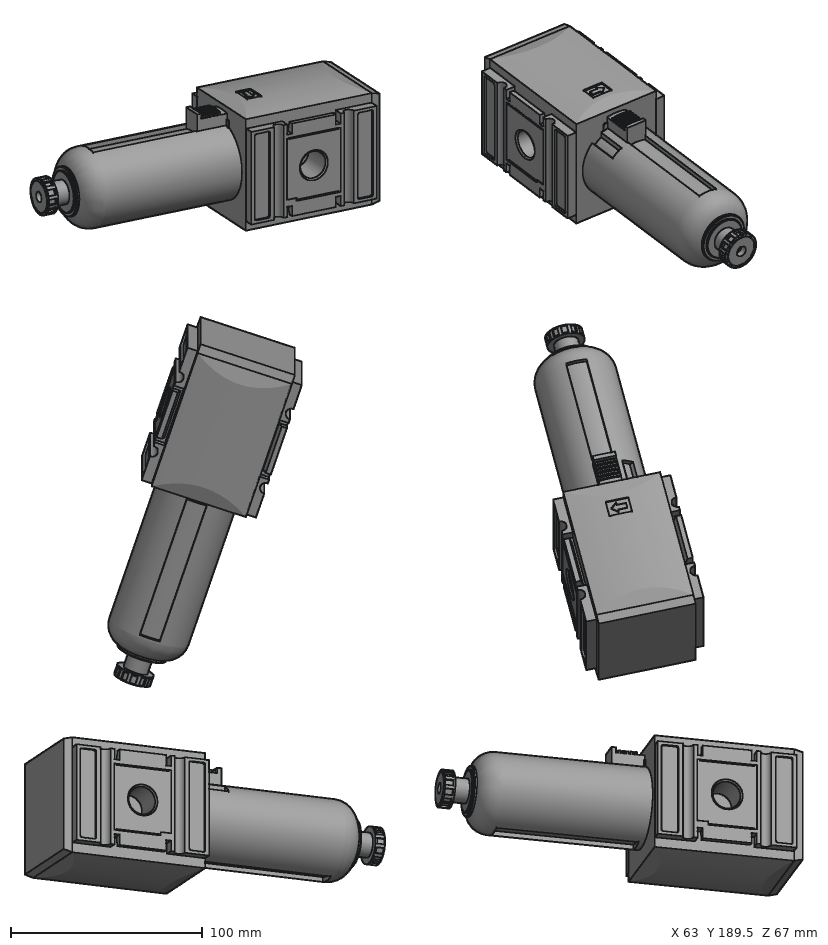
import cadquery as cq
import math


HEAD_LENGTH = 75.5
HEAD_WIDTH = 52.0
HEAD_SHOULDER = 31.3
HEAD_CROWN = 33.5
END_SLOPE = 15.0
COVER_LENGTH = 4.7
TOTAL_LENGTH = 189.5

HEAD_FRONT = -HEAD_LENGTH / 2
HEAD_BACK = HEAD_LENGTH / 2
COVER_BACK = HEAD_BACK + COVER_LENGTH
KNOB_END = COVER_BACK - TOTAL_LENGTH

OVERALL_WIDTH = 63.0
PLATE_HEIGHT = 52.0
PLATE_LENGTH = 75.0
CLAMP_GROOVE_WIDTH = 5.7
CLAMP_GROOVE_DEPTH = 3.2
CLAMP_GROOVE_OFFSET = 21.0
LABEL_WIDTH = 9.1
LABEL_HEIGHT = 48.5
LABEL_OFFSET = 30.9
LABEL_DEPTH = 1.3
LABEL_CORNER = 1.1
HOOK_SLOT_WIDTH = 2.8
HOOK_SLOT_DEPTH = 5.7
HOOK_SLOT_OFFSET = 14.5
HOOK_TAB_TOP = 2.8
HOOK_TAB_ROOT = 4.4
SEAL_WIDTH = 32.2
SEAL_HEIGHT = 36.0
SEAL_DEPTH = 0.2
SEAL_RELIEF_LENGTH = 29.5
SEAL_RELIEF_WIDTH = 0.5
SEAL_RELIEF_DEPTH = 0.5
SEAL_KEY_LENGTH = 5.9
SEAL_KEY_HEIGHT = 1.7
PORT_DIAMETER = 15.0
PORT_MOUTH_DIAMETER = 17.2
PORT_DEPTH = 19.0

PLATE_FACE = OVERALL_WIDTH / 2
HEAD_SIDE = HEAD_WIDTH / 2
PLATE_TOP = PLATE_HEIGHT / 2
BOTH = (-1, 1)

ARROW_Y = -21.5
ARROW_RECESS_LENGTH = 12.1
ARROW_RECESS_WIDTH = 8.7
ARROW_RECESS_DEPTH = 1.0
ARROW_HEIGHT = 0.5
ARROW_LENGTH = 8.3
ARROW_HEAD_LENGTH = 3.5
ARROW_HEAD_WIDTH = 5.7
ARROW_SHAFT_WIDTH = 2.8

BOWL_DIAMETER = 43.8
DOME_START = -119.0
DOME_RADIUS = 11.7
WINDOW_FLOOR_RADIUS = 19.3
WINDOW_WIDTH = 11.0
WINDOW_START = -40.7
WINDOW_END = -117.7
NOTCH_WALL_X = -9.9
NOTCH_EDGE_ANGLE = 135.8
DOME_END = DOME_START - DOME_RADIUS

LATCH_WIDTH = 12.0
LATCH_END = -55.5
LATCH_HEIGHT = 30.5
LATCH_LIP = 2.5
LATCH_PAD_RADIUS = 28.2
TOOTH_RADIUS = 29.5
TOOTH_COUNT = 5
TOOTH_PITCH = 2.3
TOOTH_WIDTH = 1.1
LATCH_PLATE_WIDTH = 16.9
LATCH_PLATE_TOP = 24.5
LATCH_PLATE_THICKNESS = 0.5
LATCH_PLATE_CORNER = 1.1

COLLAR_DIAMETER = 27.0
COLLAR_END = -131.7
COLLAR_CHAMFER = 0.4
DISC_DIAMETER = 23.0
DISC_TIP_DIAMETER = 22.0
DISC_END = -132.5
STEM_DIAMETER = 13.3
KNOB_DIAMETER = 20.0
KNOB_START = -141.0
KNOB_FACE_DIAMETER = 17.0
KNOB_EDGE = 0.5
KNOB_FLANGE = 1.0
KNURL_COUNT = 12
KNURL_WIDTH = 3.2
KNURL_DEPTH = 1.5
OUTLET_DIAMETER = 4.0
OUTLET_MOUTH_DIAMETER = 5.7
OUTLET_MOUTH_DEPTH = 3.8
OUTLET_DEPTH = 7.5


def block(x_range, y_range, z_range):
    """Box between two limits along each axis."""
    (x0, x1), (y0, y1), (z0, z1) = x_range, y_range, z_range
    return cq.Workplane("XY").box(x1 - x0, y1 - y0, z1 - z0, centered=False).translate((x0, y0, z0))


def section(y_start):
    """XZ sketch plane at y_start; a positive extrude runs towards -Y."""
    return cq.Workplane("XZ", origin=(0, y_start, 0))


def rod(diameter, y_start, y_end):
    """Round rod on the bowl axis, from y_start down to y_end."""
    return section(y_start).circle(diameter / 2).extrude(y_start - y_end)


def cone(base_diameter, tip_diameter, height, base, direction):
    """Truncated cone that stands on the point base."""
    return cq.Workplane(cq.Solid.makeCone(
        base_diameter / 2, tip_diameter / 2, height, cq.Vector(base), cq.Vector(direction)
    ))


def head_core():
    """Block with crowned top and bottom whose ends are sloped down to the shoulders."""
    crowned = (
        section(HEAD_BACK)
        .moveTo(-HEAD_SIDE, -HEAD_SHOULDER)
        .lineTo(-HEAD_SIDE, HEAD_SHOULDER)
        .threePointArc((0, HEAD_CROWN), (HEAD_SIDE, HEAD_SHOULDER))
        .lineTo(HEAD_SIDE, -HEAD_SHOULDER)
        .threePointArc((0, -HEAD_CROWN), (-HEAD_SIDE, -HEAD_SHOULDER))
        .close()
        .extrude(HEAD_LENGTH)
    )
    ridge = HEAD_SHOULDER + HEAD_BACK * math.tan(math.radians(END_SLOPE))
    sloped = (
        cq.Workplane("YZ")
        .polyline([
            (HEAD_FRONT, -HEAD_SHOULDER),
            (HEAD_FRONT, HEAD_SHOULDER),
            (0, ridge),
            (HEAD_BACK, HEAD_SHOULDER),
            (HEAD_BACK, -HEAD_SHOULDER),
            (0, -ridge),
        ])
        .close()
        .extrude(HEAD_SIDE, both=True)
    )
    return crowned.intersect(sloped)


def plate_blank(side):
    return block(
        sorted((side * HEAD_SIDE, side * PLATE_FACE)),
        (-PLATE_LENGTH / 2, PLATE_LENGTH / 2),
        (-PLATE_TOP, PLATE_TOP),
    )


def clamp_groove(side, y):
    """Round-bottomed groove running the full height of a plate."""
    radius = CLAMP_GROOVE_WIDTH / 2
    centre_x = side * (PLATE_FACE - CLAMP_GROOVE_DEPTH + radius)
    mouth = block(
        sorted((centre_x, side * (PLATE_FACE + radius))),
        (y - radius, y + radius),
        (-PLATE_TOP, PLATE_TOP),
    )
    bottom = (
        cq.Workplane("XY", origin=(centre_x, y, -PLATE_TOP)).circle(radius).extrude(PLATE_HEIGHT)
    )
    return mouth.union(bottom)


def face_recess(side, y, width, height, depth):
    """Rectangular recess in a plate face, centred at height zero."""
    return block(
        sorted((side * (PLATE_FACE - depth), side * PLATE_FACE)),
        (y - width / 2, y + width / 2),
        (-height / 2, height / 2),
    )


def label_recess(side, y):
    recess = face_recess(side, y, LABEL_WIDTH, LABEL_HEIGHT, LABEL_DEPTH)
    return recess.edges("|X").fillet(LABEL_CORNER)


def seal_recess(side):
    """Very shallow seal seat with a relief along two edges and one stepped corner."""
    seat = face_recess(side, 0, SEAL_WIDTH, SEAL_HEIGHT, SEAL_DEPTH)
    relief = face_recess(side, 0, SEAL_RELIEF_LENGTH, SEAL_RELIEF_WIDTH, SEAL_RELIEF_DEPTH)
    relief_height = (SEAL_HEIGHT - SEAL_RELIEF_WIDTH) / 2
    for end in BOTH:
        seat = seat.union(relief.translate((0, 0, end * relief_height)))
    key = block(
        sorted((side * HEAD_SIDE, side * PLATE_FACE)),
        (-SEAL_WIDTH / 2, -SEAL_WIDTH / 2 + SEAL_KEY_LENGTH),
        (-SEAL_HEIGHT / 2, -SEAL_HEIGHT / 2 + SEAL_KEY_HEIGHT),
    )
    return seat.cut(key)


def hook_slot(side, y, end):
    """Slot in the top (end = 1) or bottom (end = -1) edge of a plate."""
    return block(
        sorted((side * HEAD_SIDE, side * PLATE_FACE)),
        (y - HOOK_SLOT_WIDTH / 2, y + HOOK_SLOT_WIDTH / 2),
        sorted((end * (PLATE_TOP - HOOK_SLOT_DEPTH), end * PLATE_TOP)),
    )


def hook_channel(side, end):
    """Channel behind the tab between two slots; the tab thickens towards its root."""
    floor = end * (PLATE_TOP - HOOK_SLOT_DEPTH)
    return (
        section(HOOK_SLOT_OFFSET)
        .polyline([
            (side * HEAD_SIDE, end * PLATE_TOP),
            (side * (PLATE_FACE - HOOK_TAB_TOP), end * PLATE_TOP),
            (side * (PLATE_FACE - HOOK_TAB_ROOT), floor),
            (side * HEAD_SIDE, floor),
        ])
        .close()
        .extrude(2 * HOOK_SLOT_OFFSET)
    )


def port(side):
    """Blind port with a conical mouth."""
    mouth_depth = (PORT_MOUTH_DIAMETER - PORT_DIAMETER) / 2
    plane = cq.Plane(origin=(side * PLATE_FACE, 0, 0), xDir=(0, 1, 0), normal=(-side, 0, 0))
    bore = cq.Workplane(plane).circle(PORT_DIAMETER / 2).extrude(PORT_DEPTH)
    mouth = cone(
        PORT_MOUTH_DIAMETER, PORT_DIAMETER, mouth_depth, (side * PLATE_FACE, 0, 0), (-side, 0, 0)
    )
    return bore.union(mouth)


def connection_plate(side):
    plate = plate_blank(side).cut(seal_recess(side))
    for direction in BOTH:
        plate = plate.cut(clamp_groove(side, direction * CLAMP_GROOVE_OFFSET))
        plate = plate.cut(label_recess(side, direction * LABEL_OFFSET))
        plate = plate.cut(hook_channel(side, direction))
        for end in BOTH:
            plate = plate.cut(hook_slot(side, direction * HOOK_SLOT_OFFSET, end))
    return plate


def arrow_recess():
    """Recess in the crown with a raised arrow pointing to +X."""
    floor = HEAD_CROWN - ARROW_RECESS_DEPTH
    recess = block(
        (-ARROW_RECESS_LENGTH / 2, ARROW_RECESS_LENGTH / 2),
        (ARROW_Y - ARROW_RECESS_WIDTH / 2, ARROW_Y + ARROW_RECESS_WIDTH / 2),
        (floor, HEAD_CROWN),
    )
    tip = ARROW_LENGTH / 2
    neck = tip - ARROW_HEAD_LENGTH
    shaft = ARROW_SHAFT_WIDTH / 2
    barb = ARROW_HEAD_WIDTH / 2
    arrow = (
        cq.Workplane("XY", origin=(0, ARROW_Y, floor))
        .polyline([
            (-tip, -shaft), (neck, -shaft), (neck, -barb), (tip, 0),
            (neck, barb), (neck, shaft), (-tip, shaft),
        ])
        .close()
        .extrude(ARROW_HEIGHT)
    )
    return recess.cut(arrow)


def make_head():
    head = head_core()
    for side in BOTH:
        head = head.union(connection_plate(side))
    for side in BOTH:
        head = head.cut(port(side))
    return head.cut(arrow_recess())


def bowl_blank():
    return rod(BOWL_DIAMETER, HEAD_FRONT, DOME_END).faces("<Y").edges().fillet(DOME_RADIUS)


def bowl_wall(y_start, y_end):
    """Outer layer of the bowl, down to the floor of its windows."""
    return rod(2 * BOWL_DIAMETER, y_start, y_end).cut(rod(2 * WINDOW_FLOOR_RADIUS, y_start, y_end))


def bowl_windows():
    """Long flutes along the top and bottom of the bowl."""
    strip = block(
        (-WINDOW_WIDTH / 2, WINDOW_WIDTH / 2),
        (WINDOW_END, WINDOW_START),
        (-BOWL_DIAMETER, BOWL_DIAMETER),
    )
    return bowl_wall(WINDOW_START, WINDOW_END).intersect(strip)


def bowl_notch():
    """Notch beside the latch, between an upright wall and a radial wall."""
    angle = math.radians(NOTCH_EDGE_ANGLE)
    reach = BOWL_DIAMETER
    wedge = (
        section(HEAD_FRONT)
        .polyline([
            (NOTCH_WALL_X, NOTCH_WALL_X * math.tan(angle)),
            (NOTCH_WALL_X, reach),
            (reach * math.cos(angle), reach),
            (reach * math.cos(angle), reach * math.sin(angle)),
        ])
        .close()
        .extrude(HEAD_FRONT - LATCH_END)
    )
    return bowl_wall(HEAD_FRONT, LATCH_END).intersect(wedge)


def latch():
    """Push latch on top of the bowl: a curved pad with grip teeth and an end lip."""
    half = LATCH_WIDTH / 2
    column = block((-half, half), (LATCH_END, HEAD_FRONT), (0, LATCH_HEIGHT))
    pad = rod(2 * LATCH_PAD_RADIUS, HEAD_FRONT, LATCH_END)
    lip_start = LATCH_END + LATCH_LIP
    lip = block((-half, half), (LATCH_END, lip_start), (0, LATCH_HEIGHT))
    body = column.intersect(pad).union(lip)
    first_tooth = lip_start + TOOTH_PITCH - TOOTH_WIDTH
    for index in range(TOOTH_COUNT):
        tooth_end = first_tooth + index * TOOTH_PITCH
        tooth = rod(2 * TOOTH_RADIUS, tooth_end + TOOTH_WIDTH, tooth_end)
        body = body.union(tooth.intersect(column))
    return body


def latch_plate():
    """Thin plate between latch and head, with rounded top corners."""
    return (
        block(
            (-LATCH_PLATE_WIDTH / 2, LATCH_PLATE_WIDTH / 2),
            (HEAD_FRONT - LATCH_PLATE_THICKNESS, HEAD_FRONT),
            (0, LATCH_PLATE_TOP),
        )
        .edges("|Y and >Z")
        .fillet(LATCH_PLATE_CORNER)
    )


def make_bowl():
    bowl = bowl_blank().cut(bowl_windows()).cut(bowl_notch())
    return bowl.union(latch()).union(latch_plate())


def drain_base():
    """Collar and chamfered disc on the end of the dome, carrying the stem."""
    collar = rod(COLLAR_DIAMETER, DOME_START, COLLAR_END).faces("<Y").edges().chamfer(COLLAR_CHAMFER)
    disc = rod(DISC_DIAMETER, DOME_START, DISC_END)
    disc = disc.faces("<Y").edges().chamfer((DISC_DIAMETER - DISC_TIP_DIAMETER) / 2)
    return collar.union(disc).union(rod(STEM_DIAMETER, DISC_END, KNOB_START))


def drain_knob():
    """Knob with closed grip grooves around it and a flat cone at its end."""
    rim_start = KNOB_END + KNOB_EDGE
    knob = rod(KNOB_DIAMETER, KNOB_START, rim_start)
    rim = cone(KNOB_DIAMETER, KNOB_FACE_DIAMETER, KNOB_EDGE, (0, rim_start, 0), (0, -1, 0))
    knob = knob.union(rim)
    radius = KNOB_DIAMETER / 2
    groove = block(
        (radius - KNURL_DEPTH, radius + KNURL_DEPTH),
        (rim_start, KNOB_START - KNOB_FLANGE),
        (-KNURL_WIDTH / 2, KNURL_WIDTH / 2),
    )
    step = 360 / KNURL_COUNT
    for index in range(KNURL_COUNT):
        knob = knob.cut(groove.rotate((0, 0, 0), (0, 1, 0), index * step))
    return knob


def drain_outlet():
    """Blind outlet hole with a counterbored mouth."""
    hole = rod(OUTLET_DIAMETER, KNOB_END + OUTLET_DEPTH, KNOB_END)
    return hole.union(rod(OUTLET_MOUTH_DIAMETER, KNOB_END + OUTLET_MOUTH_DEPTH, KNOB_END))


def make_drain():
    return drain_base().union(drain_knob()).cut(drain_outlet())


def make_filter_body():
    return make_head().union(make_bowl()).union(make_drain())


def make_end_cover():
    """Flat cover on the back of the head that continues the slopes of the head."""
    back_height = HEAD_SHOULDER - COVER_LENGTH * math.tan(math.radians(END_SLOPE))
    return (
        cq.Workplane("YZ")
        .polyline([
            (HEAD_BACK, -HEAD_SHOULDER),
            (HEAD_BACK, HEAD_SHOULDER),
            (COVER_BACK, back_height),
            (COVER_BACK, -back_height),
        ])
        .close()
        .extrude(HEAD_SIDE, both=True)
    )


filter_body = make_filter_body()
end_cover = make_end_cover()

result = cq.Compound.makeCompound([filter_body.val(), end_cover.val()])